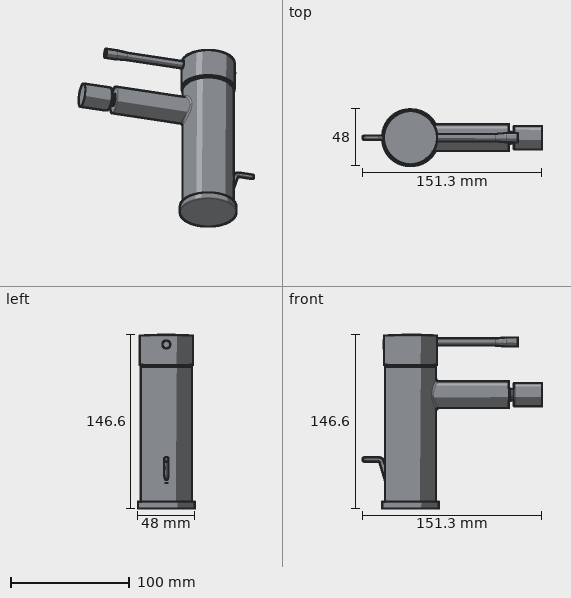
import cadquery as cq
import math


column_d = 43.3
column_top = 121.0
column_chamfer = 1.8
flange_d = 48.0
flange_height = 6.0
flange_fillet = 0.6

spout_d = 22.8
spout_z = 96.0
spout_end = 82.9
spout_root_fillet = 1.8
spout_end_fillet = 0.5

aerator_d = 20.0
aerator_start = 86.8
aerator_end = 110.9
aerator_fillet = 1.4
neck_d = 9.5
neck_collar_d = 10.5
neck_collar_length = 1.4

cap_d = 45.0
cap_edge_z = 145.8
cap_fillet = 0.6
overall_height = 146.6

boss_d = 6.7
boss_z = 138.3
boss_end = -22.8

lever_z = 140.4
lever_d = 6.4
lever_tip_d = 7.9
lever_cone_start = 71.7
lever_cone_end = 80.8
lever_end = 90.3
lever_tip_chamfer = 0.3
lever_socket_depth = 7.5

rod_d = 4.0
rod_z = 41.5
rod_tip = -40.4
rod_bend_start = -27.0
rod_bend_radius = 2.7
rod_bend_angle = 73
rod_leg_length = 18.2


def cylinder_along_x(diameter, start, end, z):
    plane = cq.Workplane("YZ", origin=(start, 0, z))
    return plane.circle(diameter / 2).extrude(end - start)


def revolve_around_x(profile_points, z):
    """Turn a closed (x, radius) profile around the line parallel to X at height z."""
    profile = cq.Workplane("XZ", origin=(0, 0, z)).polyline(profile_points).close()
    return profile.revolve(360, (0, 0, 0), (1, 0, 0))


def make_rod():
    bend = math.radians(rod_bend_angle)
    bend_centre_z = rod_z - rod_bend_radius

    def bend_point(angle):
        x = rod_bend_start + rod_bend_radius * math.sin(angle)
        return (x, bend_centre_z + rod_bend_radius * math.cos(angle))

    bend_end = bend_point(bend)
    leg_end = (
        bend_end[0] + rod_leg_length * math.cos(bend),
        bend_end[1] - rod_leg_length * math.sin(bend),
    )
    tip_centre = rod_tip + rod_d / 2
    path = (
        cq.Workplane("XZ")
        .moveTo(tip_centre, rod_z)
        .lineTo(rod_bend_start, rod_z)
        .threePointArc(bend_point(bend / 2), bend_end)
        .lineTo(*leg_end)
    )
    start_plane = cq.Workplane("YZ", origin=(tip_centre, 0, rod_z))
    bar = start_plane.circle(rod_d / 2).sweep(path)
    round_tip = cq.Workplane("XY", origin=(tip_centre, 0, rod_z)).sphere(rod_d / 2)
    return bar.union(round_tip)


def make_lever():
    stem_r = lever_d / 2
    tip_r = lever_tip_d / 2
    inner_end = cap_d / 2 - lever_socket_depth
    return revolve_around_x(
        [
            (inner_end, 0),
            (inner_end, stem_r),
            (lever_cone_start, stem_r),
            (lever_cone_end, tip_r),
            (lever_end - lever_tip_chamfer, tip_r),
            (lever_end, tip_r - lever_tip_chamfer),
            (lever_end, 0),
        ],
        lever_z,
    )


def make_cap(lever):
    edge_r = cap_d / 2
    half = (
        cq.Workplane("XZ")
        .moveTo(0, column_top)
        .lineTo(edge_r, column_top)
        .lineTo(edge_r, cap_edge_z)
    )
    rise = overall_height - cap_edge_z
    dome_r = (edge_r**2 + rise**2) / (2 * rise)
    mid_x = edge_r / 2
    mid_z = overall_height - dome_r + math.sqrt(dome_r**2 - mid_x**2)
    half = half.threePointArc((mid_x, mid_z), (0, overall_height)).close()
    cap = half.revolve(360, (0, 0, 0), (0, 1, 0))
    cap = cap.faces("%CYLINDER").edges(">Z").fillet(cap_fillet)
    boss = cylinder_along_x(boss_d, boss_end, 0, boss_z)
    return cap.union(boss).cut(lever)


def make_body(rod):
    column = cq.Workplane("XY").circle(column_d / 2).extrude(column_top)
    spout = cylinder_along_x(spout_d, 0, spout_end, spout_z)
    body = column.union(spout)

    root_edge = body.edges("not %CIRCLE").edges("not %LINE")
    body = root_edge.fillet(spout_root_fillet)
    body = body.faces(">X").edges().fillet(spout_end_fillet)
    body = body.faces(">Z").edges().chamfer(column_chamfer)

    flange = cq.Workplane("XY").circle(flange_d / 2).extrude(flange_height)
    flange = flange.edges("%CIRCLE").fillet(flange_fillet)
    return body.union(flange).cut(rod)


def make_aerator():
    head = cylinder_along_x(aerator_d, aerator_start, aerator_end, spout_z)
    head = head.faces("<X").edges().fillet(aerator_fillet)
    neck = cylinder_along_x(neck_d, spout_end, aerator_start, spout_z)
    collar = cylinder_along_x(neck_collar_d, spout_end, spout_end + neck_collar_length, spout_z)
    return head.union(neck).union(collar)


rod = make_rod()
lever = make_lever()
cap = make_cap(lever)
body = make_body(rod)
aerator = make_aerator()

result = cq.Compound.makeCompound([body.val(), cap.val(), lever.val(), aerator.val(), rod.val()])